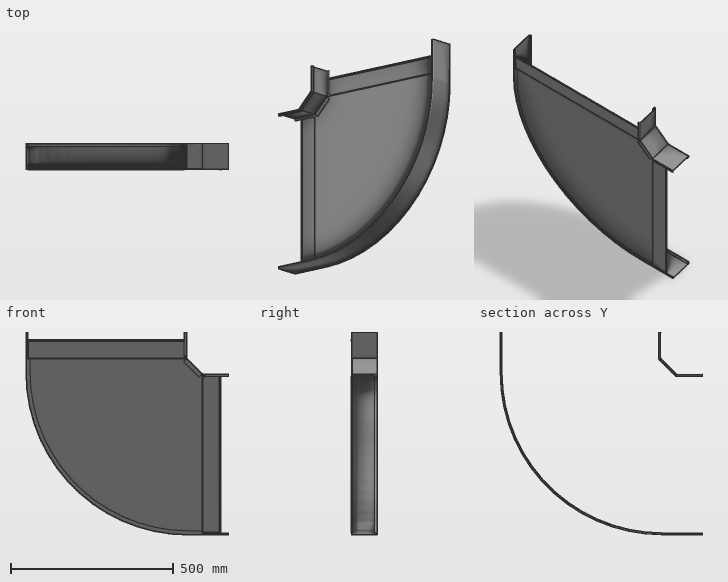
import cadquery as cq
import math

overall = 625.0
height = 82.0
sheet = 1.5
outer_radius = 500.0
tray_width = 496.0
corner_cut = 49.0

step_start = 543.0
step_length = 3.0
end_step_start = 596.0
end_step_length = 3.0
floor_end = 602.0
strip_gap = 2.0

arm_lip = 6.0
bend_lip = 13.0
inner_lip = 8.0
inner_lip_start = 552.0
tab_depth = 14.5
tab_length = 67.0
front_bend = 1.2
rim_width = 7.0
rim_depth = 9.0
rim_radius = 3.5

strip_front = sheet
plate_front = 2 * sheet
plate_back = 3 * sheet
wall_front = strip_front

inner_corner = tray_width + corner_cut


def extrude_along_y(sketch, y_front, y_back):
    """Extrude a closed XZ outline, drawn on a plane facing -Y, between two Y levels."""
    return sketch.extrude(-(y_back - y_front)).translate((0, y_front, 0))


def swap_x_and_z(body):
    """Mirror a body in the diagonal plane X = Z, the symmetry plane of the bend."""
    return body.mirror((1, 0, -1), (0, 0, 0))


def box_between(x_range, y_range, z_range):
    """Box that fills the given (start, end) ranges."""
    size = [end - start for start, end in (x_range, y_range, z_range)]
    start = (x_range[0], y_range[0], z_range[0])
    return cq.Workplane("XY").box(*size, centered=False).translate(start)


def arc_middle(offset):
    """Middle of the bend arc that lies the given distance inside the outer face."""
    place = outer_radius - (outer_radius - offset) * math.sqrt(0.5)
    return place, place


def wall_section(face, inward):
    """XY section of a wall with its rolled rim; inward is +1 or -1 along X."""
    bulge = rim_radius * (1 - math.sqrt(0.5))
    inner_radius = rim_radius - sheet
    inner_bulge = sheet + inner_radius * (1 - math.sqrt(0.5))

    def at(depth, y):
        return face + inward * depth, y

    return (
        cq.Workplane("XY", origin=(0, 0, overall))
        .moveTo(*at(0, wall_front))
        .lineTo(*at(0, height - rim_radius))
        .threePointArc(at(bulge, height - bulge), at(rim_radius, height))
        .lineTo(*at(rim_width, height))
        .lineTo(*at(rim_width, height - rim_depth))
        .lineTo(*at(rim_width - sheet, height - rim_depth))
        .lineTo(*at(rim_width - sheet, height - sheet))
        .lineTo(*at(rim_radius, height - sheet))
        .threePointArc(at(inner_bulge, height - inner_bulge), at(sheet, height - rim_radius))
        .lineTo(*at(sheet, wall_front))
        .close()
    )


def joint_strip():
    """Stepped strip that continues the floor plate into the upper arm."""
    step_end = step_start + step_length
    end_step_end = end_step_start + end_step_length
    front = [
        (plate_front, step_start),
        (strip_front, step_end),
        (strip_front, end_step_start),
        (0, end_step_end),
        (0, floor_end),
    ]
    back = [(y + sheet, z) for y, z in reversed(front)]
    x_start = arm_lip + strip_gap
    x_end = tray_width - inner_lip
    profile = cq.Workplane("YZ", origin=(x_start, 0, 0)).polyline(front + back).close()
    return profile.extrude(x_end - x_start)


def make_floor():
    """Main plate with a joint strip towards each arm."""
    near = sheet
    cut_sum = tray_width + inner_corner - sheet * math.sqrt(2)
    outline = (
        cq.Workplane("XZ")
        .moveTo(near, step_start)
        .lineTo(near, outer_radius)
        .threePointArc(arc_middle(near), (outer_radius, near))
        .lineTo(step_start, near)
        .lineTo(step_start, cut_sum - step_start)
        .lineTo(cut_sum - step_start, step_start)
        .close()
    )
    plate = extrude_along_y(outline, plate_front, plate_back)
    strip = joint_strip()
    return plate.union(strip).union(swap_x_and_z(strip))


def make_outer_wall():
    """Wall around the outside of the bend, with a front lip and a rolled rim."""
    path = (
        cq.Workplane("XZ")
        .moveTo(0, overall)
        .lineTo(0, outer_radius)
        .threePointArc(arc_middle(0), (outer_radius, 0))
        .lineTo(overall, 0)
    )
    wall = wall_section(0, 1).sweep(path)
    lip_outline = (
        cq.Workplane("XZ")
        .moveTo(0, step_start)
        .lineTo(0, outer_radius)
        .threePointArc(arc_middle(0), (outer_radius, 0))
        .lineTo(step_start, 0)
        .lineTo(step_start, bend_lip)
        .lineTo(outer_radius, bend_lip)
        .threePointArc(arc_middle(bend_lip), (bend_lip, outer_radius))
        .lineTo(bend_lip, step_start)
        .close()
    )
    wall = wall.union(extrude_along_y(lip_outline, wall_front, plate_front))
    lip = box_between((0, arm_lip), (wall_front, plate_front), (step_start, overall))
    return wall.union(lip).union(swap_x_and_z(lip))


def make_inner_wall():
    """Wall around the inner corner cut, with arm lips, a tab and a rolled rim."""
    path = (
        cq.Workplane("XZ")
        .moveTo(tray_width, overall)
        .lineTo(tray_width, inner_corner)
        .lineTo(inner_corner, tray_width)
        .lineTo(overall, tray_width)
    )
    wall = wall_section(tray_width, -1).sweep(path, transition="right")
    lip = box_between(
        (tray_width - inner_lip, tray_width), (wall_front, plate_front), (inner_lip_start, overall)
    )
    middle = (tray_width + inner_corner) / 2
    tab = (
        box_between((-tab_depth, 0), (wall_front, plate_front), (-tab_length / 2, tab_length / 2))
        .rotate((0, 0, 0), (0, 1, 0), -45)
        .translate((middle, 0, middle))
    )
    wall = wall.union(lip).union(swap_x_and_z(lip)).union(tab)
    arm_middle = (overall + inner_corner) / 2
    front_edges = []
    for x, z in [(tray_width, arm_middle), (middle, middle), (arm_middle, tray_width)]:
        nearest = cq.NearestToPointSelector((x, wall_front, z))
        front_edges += wall.edges(nearest).vals()
    return wall.newObject(front_edges).fillet(front_bend)


floor = make_floor()
outer_wall = make_outer_wall()
inner_wall = make_inner_wall()

result = cq.Compound.makeCompound([floor.solids().val(), outer_wall.solids().val(), inner_wall.solids().val()])